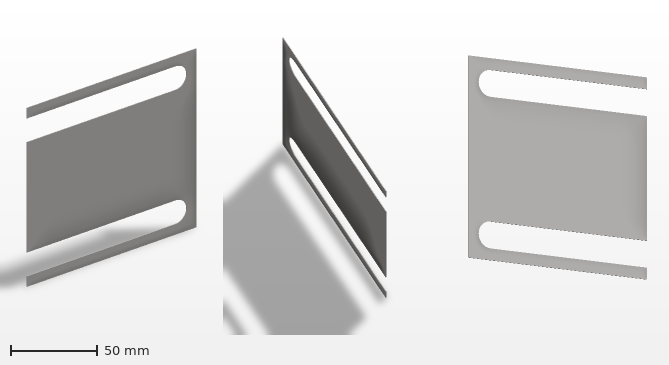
import cadquery as cq

side = 120.0
thickness = 0.5

slot_width = 16.0
slot_spacing = 90.0
end_margin = 7.0

slot_radius = slot_width / 2
open_edge_y = -side / 2
arc_center_y = side / 2 - end_margin - slot_radius


def open_slot(center_z):
    """Cutter for one slot running from the -Y edge to its rounded end."""
    bottom_z = center_z - slot_radius
    top_z = center_z + slot_radius
    return (
        cq.Workplane("YZ")
        .moveTo(open_edge_y, bottom_z)
        .lineTo(arc_center_y, bottom_z)
        .threePointArc((arc_center_y + slot_radius, center_z), (arc_center_y, top_z))
        .lineTo(open_edge_y, top_z)
        .close()
        .extrude(thickness, both=True)
    )


result = cq.Workplane("XY").box(thickness, side, side)
for center_z in (-slot_spacing / 2, slot_spacing / 2):
    result = result.cut(open_slot(center_z))